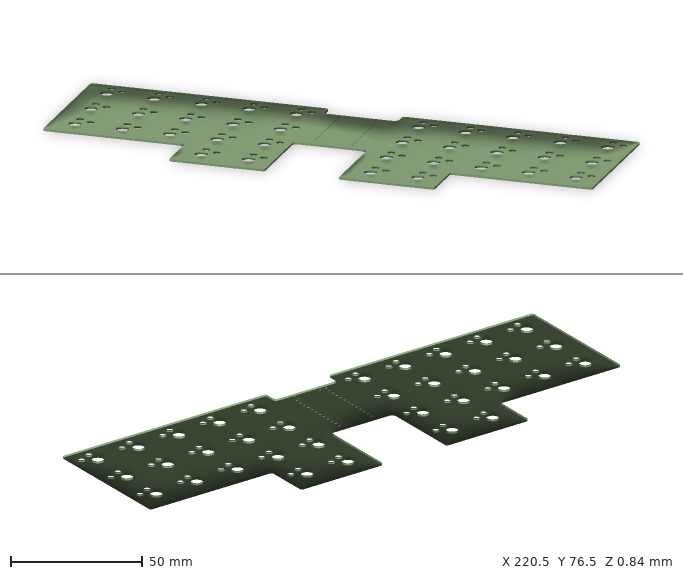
import cadquery as cq


length = 220.5
width = 76.5
thickness = 0.84
corner_radius = 0.9
bridge_corner_radius = 2.0

columns = 5
full_rows = 3
thumb_keys = 2
edge_margin = 0.25
key_pitch = (width - 2 * edge_margin) / (full_rows + 1)

bridge_length = 29.8
bridge_top = 32.2
bridge_bottom = -3.5

post_diameter = 5.0
contact_diameter = 3.0
contact_spread = 10.0
contact_offsets = [(0, 6.0), (contact_spread / 2, 3.7)]

pin_diameter = 1.0
pins_per_row = 12
pin_row_length = 28.0
pin_pitch = pin_row_length / (pins_per_row - 1)
pin_row_spacing = 15.2
first_pin_y = 28.2

battery_hole_diameter = 0.9
battery_holes = [(-8.2, 30.9), (-5.3, 30.9)]
reset_hole_diameter = 0.75
reset_holes = [(6.0, 31.8), (6.0, 29.0)]

half_length = length / 2
half_width = width / 2
half_bridge = bridge_length / 2
step_y = half_width - full_rows * key_pitch - 2 * edge_margin
outer_key_x = half_length - edge_margin - key_pitch / 2
inner_key_x = outer_key_x - (columns - 1) * key_pitch
top_key_y = half_width - edge_margin - key_pitch / 2
thumb_edge_x = inner_key_x + (thumb_keys - 0.5) * key_pitch + edge_margin


def round_corners(board, corners, radius):
    """Round the given right-half corners and their mirror images."""
    for x, y in corners:
        for side in (-1, 1):
            nearest = cq.selectors.NearestToPointSelector((side * x, y, 0))
            board = board.edges("|Z").edges(nearest).fillet(radius)
    return board


def make_board():
    """Stepped board outline, drawn for the right half and mirrored, with every corner rounded."""
    right_half = [
        (0, bridge_top),
        (half_bridge, bridge_top),
        (half_bridge, half_width),
        (half_length, half_width),
        (half_length, step_y),
        (thumb_edge_x, step_y),
        (thumb_edge_x, -half_width),
        (half_bridge, -half_width),
        (half_bridge, bridge_bottom),
        (0, bridge_bottom),
    ]
    left_half = [(-x, y) for x, y in reversed(right_half[1:-1])]
    board = cq.Workplane("XY").polyline(right_half + left_half).close().extrude(thickness)
    board = board.translate((0, 0, -thickness / 2))
    bridge_corners = [(half_bridge, bridge_top), (half_bridge, bridge_bottom)]
    board = round_corners(board, bridge_corners, bridge_corner_radius)
    other_corners = [
        (half_bridge, half_width),
        (half_length, half_width),
        (half_length, step_y),
        (thumb_edge_x, step_y),
        (thumb_edge_x, -half_width),
        (half_bridge, -half_width),
    ]
    return round_corners(board, other_corners, corner_radius)


def key_centres():
    """Centres of all keys: full rows on both halves, then the short thumb row."""
    centres = []
    for row in range(full_rows + 1):
        keys_in_row = columns if row < full_rows else thumb_keys
        y = top_key_y - row * key_pitch
        for column in range(keys_in_row):
            x = inner_key_x + column * key_pitch
            centres += [(-x, y), (x, y)]
    return centres


def drill(board, centres, diameter):
    """Round holes right through the board."""
    cutters = cq.Workplane("XY").pushPoints(centres).circle(diameter / 2).extrude(thickness, both=True)
    return board.cut(cutters)


keys = key_centres()
contacts = [(x + dx, y + dy) for x, y in keys for dx, dy in contact_offsets]
pins = [
    (side * pin_row_spacing / 2, first_pin_y - index * pin_pitch)
    for side in (-1, 1)
    for index in range(pins_per_row)
]

result = make_board()
result = drill(result, keys, post_diameter)
result = drill(result, contacts, contact_diameter)
result = drill(result, pins, pin_diameter)
result = drill(result, battery_holes, battery_hole_diameter)
result = drill(result, reset_holes, reset_hole_diameter)